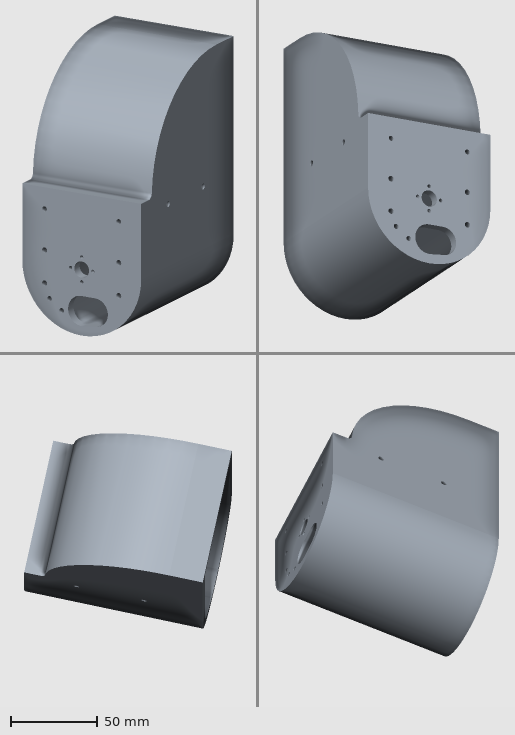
import cadquery as cq
import math

WIDTH = 80.0
DEPTH = 106.0
HEIGHT = 160.0
WALL = 6.0
SHOULDER_Z = 86.0
SHOULDER_FILLET = 3.5

BASE_RADIUS = WIDTH / 2
HOOD_RADIUS = HEIGHT - SHOULDER_Z
HOOD_CENTER_Y = SHOULDER_Z

SHAFT_DIAMETER = 10.0
MOTOR_SCREW_DIAMETER = 2.2
MOTOR_SCREW_RADIUS = 7.5
MOUNT_DIAMETER = 3.4
MOUNT_X = 25.0
MOUNT_HEIGHTS = (28.0, 48.0)
BLIND_DIAMETER = 3.0
BLIND_HEIGHT = 73.0
BLIND_DEPTH = 4.0
OUTER_SCREW_DIAMETER = 3.0
OUTER_SCREW_RADIUS = 30.0
OUTER_SCREW_ANGLES = (224.0, 243.5)

CABLE_TOP_Z = 24.0
CABLE_LEFT_RADIUS = 9.1
CABLE_RIGHT_RADIUS = 8.6
CABLE_RIGHT_X = 9.0

SIDE_HOLE_DIAMETER = 3.5
SIDE_HOLE_Z = 78.0
SIDE_HOLE_DEPTHS = (30.9, 70.9)


def front_plane():
    """Workplane facing +Y whose points are given as (x, -z)."""
    return cq.Workplane("XZ").transformed(rotate=(180, 0, 0))


def envelope(inset):
    """Housing volume with every face except the open back moved inwards."""
    radius = BASE_RADIUS - inset
    section = (
        front_plane()
        .moveTo(-radius, -HEIGHT)
        .lineTo(radius, -HEIGHT)
        .lineTo(radius, -BASE_RADIUS)
        .threePointArc((0, -inset), (-radius, -BASE_RADIUS))
        .close()
        .extrude(DEPTH)
    )
    hood = HOOD_RADIUS - inset
    diagonal = hood * math.sqrt(0.5)
    base_block = (
        cq.Workplane("YZ")
        .moveTo(inset, 0)
        .lineTo(inset, SHOULDER_Z - inset)
        .lineTo(HOOD_CENTER_Y, SHOULDER_Z - inset)
        .lineTo(HOOD_CENTER_Y, 0)
        .close()
        .extrude(WIDTH / 2, both=True)
    )
    hood_block = (
        cq.Workplane("YZ")
        .moveTo(HOOD_CENTER_Y - hood, 0)
        .lineTo(HOOD_CENTER_Y - hood, SHOULDER_Z)
        .threePointArc(
            (HOOD_CENTER_Y - diagonal, SHOULDER_Z + diagonal),
            (HOOD_CENTER_Y, SHOULDER_Z + hood),
        )
        .lineTo(DEPTH, SHOULDER_Z + hood)
        .lineTo(DEPTH, 0)
        .close()
        .extrude(WIDTH / 2, both=True)
    )
    return section.intersect(base_block.union(hood_block))


def front_holes(points, diameter, depth):
    """Round cutters entering the front face at the given (x, z) points."""
    flipped = [(x, -z) for x, z in points]
    return front_plane().pushPoints(flipped).circle(diameter / 2).extrude(depth)


def around_motor(radius, angles):
    """Points on a circle about the motor axis, angles in degrees."""
    return [
        (radius * math.cos(math.radians(a)), BASE_RADIUS + radius * math.sin(math.radians(a)))
        for a in angles
    ]


def cable_opening():
    """Cutter whose lower flank is the common tangent of the two round ends."""
    left_z = CABLE_TOP_Z - CABLE_LEFT_RADIUS
    right_z = CABLE_TOP_Z - CABLE_RIGHT_RADIUS
    tilt = 2 * math.atan2(right_z - left_z, CABLE_RIGHT_X)
    down_x = math.sin(tilt)
    down_z = -math.cos(tilt)
    left_foot = (CABLE_LEFT_RADIUS * down_x, -left_z - CABLE_LEFT_RADIUS * down_z)
    right_foot = (
        CABLE_RIGHT_X + CABLE_RIGHT_RADIUS * down_x,
        -right_z - CABLE_RIGHT_RADIUS * down_z,
    )
    return (
        front_plane()
        .moveTo(0, -CABLE_TOP_Z)
        .lineTo(CABLE_RIGHT_X, -CABLE_TOP_Z)
        .threePointArc((CABLE_RIGHT_X + CABLE_RIGHT_RADIUS, -right_z), right_foot)
        .lineTo(*left_foot)
        .threePointArc((-CABLE_LEFT_RADIUS, -left_z), (0, -CABLE_TOP_Z))
        .close()
        .extrude(DEPTH)
    )


def side_holes():
    """Cutters passing through both side walls."""
    return (
        cq.Workplane("YZ")
        .pushPoints([(y, SIDE_HOLE_Z) for y in SIDE_HOLE_DEPTHS])
        .circle(SIDE_HOLE_DIAMETER / 2)
        .extrude(WIDTH, both=True)
    )


shoulder = cq.selectors.NearestToPointSelector((0, HOOD_CENTER_Y - HOOD_RADIUS, SHOULDER_Z))
body = envelope(0).edges(shoulder).fillet(SHOULDER_FILLET)
body = body.cut(envelope(WALL))

mounts = [(side * MOUNT_X, z) for side in (-1, 1) for z in MOUNT_HEIGHTS]
blinds = [(side * MOUNT_X, BLIND_HEIGHT) for side in (-1, 1)]
motor_screws = around_motor(MOTOR_SCREW_RADIUS, (0, 90, 180, 270))
outer_screws = around_motor(OUTER_SCREW_RADIUS, OUTER_SCREW_ANGLES)
body = body.cut(front_holes([(0, BASE_RADIUS)], SHAFT_DIAMETER, WALL))
body = body.cut(front_holes(motor_screws, MOTOR_SCREW_DIAMETER, WALL))
body = body.cut(front_holes(mounts, MOUNT_DIAMETER, WALL))
body = body.cut(front_holes(outer_screws, OUTER_SCREW_DIAMETER, WALL))
body = body.cut(front_holes(blinds, BLIND_DIAMETER, BLIND_DEPTH))
body = body.cut(cable_opening())

result = body.cut(side_holes())